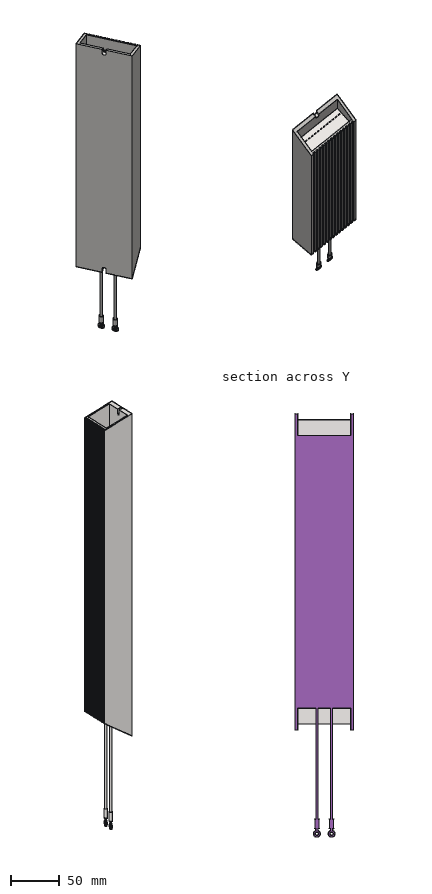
import cadquery as cq

total_height = 442.2
width = 60.0
depth = 30.0
front_height = 340.0
end_rise = 15.5
side_wall = 3.0
front_wall = 4.0
rear_wall = 3.0
cavity_depth = depth - front_wall - rear_wall
cavity_y = (front_wall - rear_wall) / 2
top_z = total_height
bottom_z = top_z - front_height
middle_z = (top_z + bottom_z) / 2

fin_count = 13
inner_width = width - 2 * side_wall
fin_width = inner_width / (2 * fin_count + 1)
fin_pitch = 2 * fin_width
groove_depth = 1.5

notch_width = 4.0
notch_depth = 8.0

fill_recess = 30.0
slot_width = 0.5
slot_and_step_depth = 1.0
slot_from_front = 10.0
slot_y = slot_from_front - depth / 2
rear_step_width = 1.0

wire_offset = 7.5
wire_diameter = 2.87
sleeve_width = 5.0
sleeve_thickness = 3.5
sleeve_bottom_z = 9.0
sleeve_top_z = 18.5
ring_diameter = 7.0
ring_hole_diameter = 3.0
tab_width = 2.5
ring_thickness = 1.0
tab_thickness = 0.5


def box(x_size, y_size, z_size, x, y, z):
    """Box centred on x, y and z."""
    return cq.Workplane("XY").box(x_size, y_size, z_size).translate((x, y, z))


def make_profile():
    """Tube cross-section extruded to full length, grooved along the rear face."""
    tube = box(width, depth, front_height, 0, 0, middle_z)
    tube = tube.cut(box(inner_width, cavity_depth, front_height, 0, cavity_y, middle_z))
    groove_count = fin_count + 1
    for i in range(groove_count):
        x = (i - (groove_count - 1) / 2) * fin_pitch
        y = (depth - groove_depth) / 2
        tube = tube.cut(box(fin_width, groove_depth, front_height, x, y, middle_z))
    return tube


def make_side_envelope():
    """Trapezoidal block, extruded along X, that slants both ends of the tube."""
    return (
        cq.Workplane("YZ")
        .polyline([
            (-depth / 2, bottom_z),
            (depth / 2, bottom_z + end_rise),
            (depth / 2, top_z - end_rise),
            (-depth / 2, top_z),
        ])
        .close()
        .extrude(width / 2, both=True)
    )


def make_notches():
    """Cutters for the two notches, one at each end of the front wall."""
    notch_length = 2 * notch_depth
    cutters = cq.Workplane("XZ", origin=(0, -depth / 2 + front_wall, 0))
    return (
        cutters.pushPoints([(0, bottom_z), (0, top_z)])
        .slot2D(notch_length, notch_width, 90)
        .extrude(front_wall)
    )


def make_fill():
    """Block filling the middle of the tube, slotted in line with the fins and stepped at the rear."""
    fill_height = front_height - 2 * fill_recess
    fill = box(inner_width, cavity_depth, fill_height, 0, cavity_y, middle_z)
    slot_and_step_z = top_z - fill_recess - slot_and_step_depth / 2
    step_y = depth / 2 - rear_wall - rear_step_width / 2
    fill = fill.cut(box(inner_width, rear_step_width, slot_and_step_depth, 0, step_y, slot_and_step_z))
    for i in range(fin_count):
        x = (i - (fin_count - 1) / 2) * fin_pitch
        fill = fill.cut(box(fin_width, slot_width, slot_and_step_depth, x, slot_y, slot_and_step_z))
    return fill


def make_wire(x):
    """Wire from the filling down to a crimp sleeve and a flat ring terminal."""
    wire_top_z = bottom_z + fill_recess
    wire = (
        cq.Workplane("XY", origin=(x, 0, sleeve_top_z))
        .circle(wire_diameter / 2)
        .extrude(wire_top_z - sleeve_top_z)
    )
    sleeve = (
        cq.Workplane("XY", origin=(x, 0, sleeve_bottom_z))
        .ellipse(sleeve_width / 2, sleeve_thickness / 2)
        .extrude(sleeve_top_z - sleeve_bottom_z)
    )
    ring_z = ring_diameter / 2
    ring = (
        cq.Workplane("XZ", origin=(x, 0, ring_z))
        .circle(ring_diameter / 2)
        .extrude(ring_thickness / 2, both=True)
    )
    tab_height = sleeve_bottom_z - ring_z
    tab = box(tab_width, tab_thickness, tab_height, x, 0, ring_z + tab_height / 2)
    hole = (
        cq.Workplane("XZ", origin=(x, 0, ring_z))
        .circle(ring_hole_diameter / 2)
        .extrude(ring_thickness, both=True)
    )
    return wire.union(sleeve).union(ring.union(tab).cut(hole))


result = make_profile().intersect(make_side_envelope()).cut(make_notches()).union(make_fill())
for wire_x in (-wire_offset, wire_offset):
    result = result.union(make_wire(wire_x))